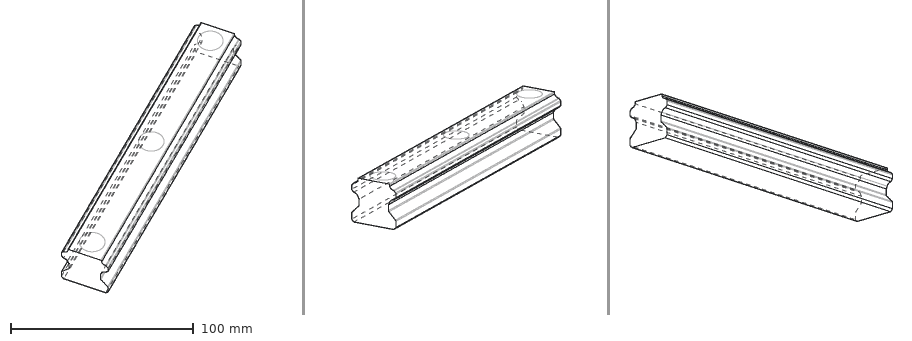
import cadquery as cq

LENGTH = 180.0
WIDTH = 28.0
HEIGHT = 26.0

half_width = WIDTH / 2
top_half_width = 10.0
web_half_width = 9.4

head_mid_z = 20.0
head_flat_half_height = 1.3
head_tip_half_width = 12.8
head_tip_half_height = 2.7
groove_end_half_height = 4.7
groove_sag = 0.5

web_top_z = 13.9
web_bottom_z = 10.0
foot_top_z = 5.4
foot_chamfer = 1.5

top_edge_radius = 0.4
head_tip_radius = 0.5
flank_radius = 0.9

cap_diameter = 14.0
cap_thickness = 1.8
cap_pitch = 80.0
cap_count = 3


def groove_middle(side):
    """Point halfway along the ball groove above (side = 1) or below (side = -1) the head."""
    run = head_tip_half_width - top_half_width
    rise = groove_end_half_height - head_tip_half_height
    chord = (run**2 + rise**2) ** 0.5
    x = (head_tip_half_width + top_half_width) / 2 - groove_sag * rise / chord
    offset = (head_tip_half_height + groove_end_half_height) / 2 - groove_sag * run / chord
    return (x, head_mid_z + side * offset)


def half_profile():
    """Right half of the cross-section, drawn on the XZ plane and closed on the centre plane."""
    return (
        cq.Workplane("XZ", origin=(0, LENGTH / 2, 0))
        .moveTo(0, 0)
        .lineTo(half_width - foot_chamfer, 0)
        .lineTo(half_width, foot_chamfer)
        .lineTo(half_width, foot_top_z)
        .lineTo(web_half_width, web_bottom_z)
        .lineTo(web_half_width, web_top_z)
        .lineTo(top_half_width, head_mid_z - groove_end_half_height)
        .threePointArc(groove_middle(-1), (head_tip_half_width, head_mid_z - head_tip_half_height))
        .lineTo(half_width, head_mid_z - head_flat_half_height)
        .lineTo(half_width, head_mid_z + head_flat_half_height)
        .lineTo(head_tip_half_width, head_mid_z + head_tip_half_height)
        .threePointArc(groove_middle(1), (top_half_width, head_mid_z + groove_end_half_height))
        .lineTo(top_half_width, HEIGHT)
        .lineTo(0, HEIGHT)
        .close()
    )


def round_long_edge(body, x, z, radius):
    """Fillet the lengthwise edge that passes through (x, z)."""
    return body.edges("|Y").edges(cq.NearestToPointSelector((x, 0, z))).fillet(radius)


def rail_body():
    right_half = half_profile().extrude(LENGTH)
    right_half = round_long_edge(right_half, top_half_width, HEIGHT, top_edge_radius)
    right_half = round_long_edge(
        right_half, head_tip_half_width, head_mid_z + head_tip_half_height, head_tip_radius
    )
    flank_corners = [
        (half_width, head_mid_z + head_flat_half_height),
        (web_half_width, web_bottom_z),
        (half_width, foot_top_z),
    ]
    for x, z in flank_corners:
        right_half = round_long_edge(right_half, x, z, flank_radius)
    return right_half.union(right_half.mirror("YZ"))


def hole_caps():
    """Solid discs whose upper faces lie flush with the top of the rail."""
    return (
        cq.Workplane("XY", origin=(0, 0, HEIGHT))
        .rarray(1.8, cap_pitch, 1, cap_count)
        .circle(cap_diameter / 2)
        .extrude(-cap_thickness)
    )


result = rail_body().union(hole_caps(), clean=False)